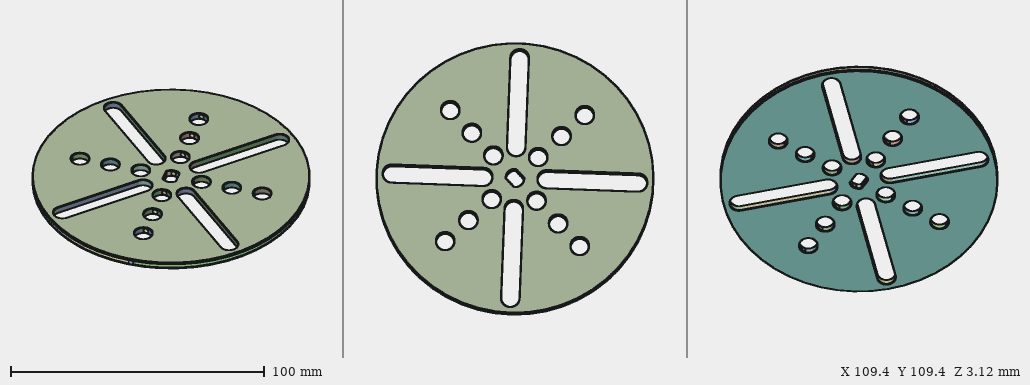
import cadquery as cq

disc_diameter = 109.38
thickness = 3.12
edge_chamfer = 0.3
disc_radius = disc_diameter / 2

groove_depth = 1.0
groove_half_width = 0.75

hole_diameter = 7.0
hole_pitch = 12.5
holes_per_arm = 3
slot_inner_radius = hole_pitch
slot_outer_radius = 48.5
hub_flat_width = 5.1

cross_bore_diameter = 2.0
bore_seam_angle = 45

arm_angles = [0, 90, 180, 270]
slot_offset_angle = 45
slot_angles = [angle + slot_offset_angle for angle in arm_angles]


def bottom_plane():
    """Workplane on the bottom face of the disc."""
    return cq.Workplane("XY", origin=(0, 0, -thickness / 2))


def turned(body, angle):
    """Rotate a body about the disc axis."""
    return body.rotate((0, 0, 0), (0, 0, 1), angle)


def make_disc():
    """Disc with a V groove around its rim."""
    half_thickness = thickness / 2
    half_section = (
        cq.Workplane("XZ")
        .moveTo(0, -half_thickness)
        .lineTo(disc_radius, -half_thickness)
        .lineTo(disc_radius, -groove_half_width)
        .lineTo(disc_radius - groove_depth, 0)
        .lineTo(disc_radius, groove_half_width)
        .lineTo(disc_radius, half_thickness)
        .lineTo(0, half_thickness)
        .close()
    )
    return half_section.revolve(360, (0, 0, 0), (0, 1, 0))


def hole_row():
    """Cutter for one row of round holes running outward along +X."""
    centers = [(hole_pitch * step, 0) for step in range(1, holes_per_arm + 1)]
    return bottom_plane().pushPoints(centers).circle(hole_diameter / 2).extrude(thickness)


def radial_slot():
    """Cutter for one slot running outward along +X."""
    center_radius = (slot_inner_radius + slot_outer_radius) / 2
    overall_length = slot_outer_radius - slot_inner_radius + hole_diameter
    return bottom_plane().center(center_radius, 0).slot2D(overall_length, hole_diameter).extrude(thickness)


def hub_hole():
    """Cutter for the centre hole: a round hole narrowed by two flats facing X."""
    cylinder = bottom_plane().circle(hole_diameter / 2).extrude(thickness)
    flats = bottom_plane().rect(hub_flat_width, hole_diameter).extrude(thickness)
    return cylinder.intersect(flats)


def half_bore():
    """Cutter for a bore from the disc centre out through the rim along +X."""
    end_plane = cq.Workplane("YZ").transformed(rotate=(0, 0, bore_seam_angle))
    return end_plane.circle(cross_bore_diameter / 2).extrude(disc_diameter)


result = make_disc().cut(hub_hole())
for angle in arm_angles:
    result = result.cut(turned(hole_row(), angle))
for angle in slot_angles:
    result = result.cut(turned(radial_slot(), angle))

result = result.faces("<Z or >Z").edges().chamfer(edge_chamfer)

for angle in arm_angles:
    result = result.cut(turned(half_bore(), angle))